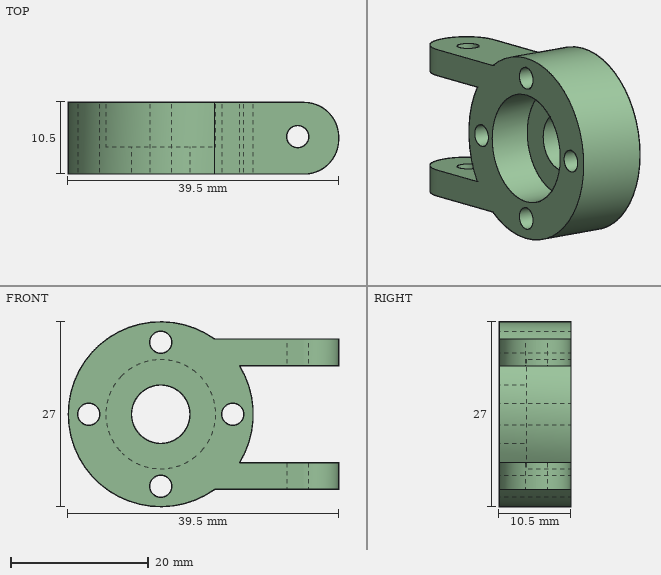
import cadquery as cq

disc_diameter = 27.0
disc_radius = disc_diameter / 2
disc_thickness = 10.5
bore_diameter = 8.5
bore_depth = 4.0
counterbore_diameter = 16.0
screw_hole_diameter = 3.2
screw_hole_offset = 10.5

overall_length = 39.5
arm_tip_x = overall_length - disc_radius
arm_outer_z = 11.0
arm_thickness = 3.9
tip_radius = 5.1
pin_hole_diameter = 3.2
pin_hole_to_tip = 6.0
pin_hole_x = arm_tip_x - pin_hole_to_tip
pin_hole_y = 0.25


def y_cylinder(x, z, diameter, front_y=-disc_thickness / 2):
    """Cylinder along Y, from front_y to the back face of the disc."""
    return (
        cq.Workplane("XZ", origin=(x, front_y, z))
        .circle(diameter / 2)
        .extrude(-(disc_thickness / 2 - front_y))
    )


def make_arm(bottom_z):
    """Flat arm starting at the disc axis, with its two tip corners rounded."""
    return (
        cq.Workplane("XY", origin=(0, 0, bottom_z))
        .box(arm_tip_x, disc_thickness, arm_thickness, centered=(False, True, False))
        .edges("|Z and >X")
        .fillet(tip_radius)
    )


result = y_cylinder(0, 0, disc_diameter)
for bottom_z in (arm_outer_z - arm_thickness, -arm_outer_z):
    result = result.union(make_arm(bottom_z))

result = result.cut(y_cylinder(0, 0, bore_diameter))
shoulder_y = bore_depth - disc_thickness / 2
result = result.cut(y_cylinder(0, 0, counterbore_diameter, shoulder_y))

for side in (-1, 1):
    result = result.cut(y_cylinder(side * screw_hole_offset, 0, screw_hole_diameter))
    result = result.cut(y_cylinder(0, side * screw_hole_offset, screw_hole_diameter))

pin_hole = (
    cq.Workplane("XY")
    .center(pin_hole_x, pin_hole_y)
    .circle(pin_hole_diameter / 2)
    .extrude(arm_outer_z, both=True)
)
result = result.cut(pin_hole)